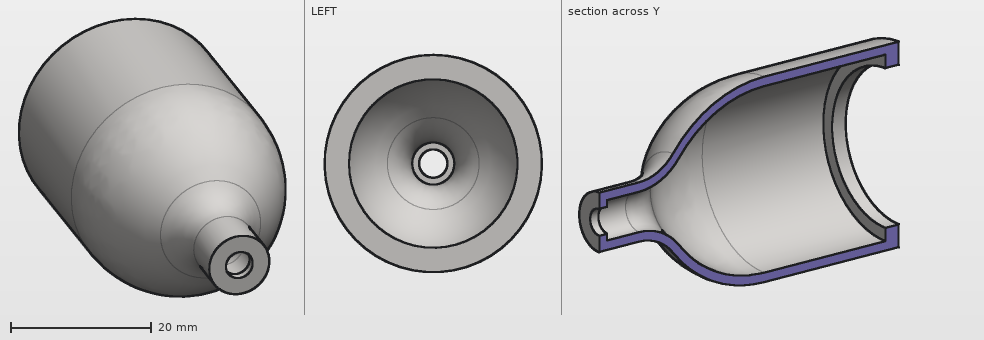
import math

import cadquery as cq

total_length = 55.0
body_radius = 15.5
neck_radius = 4.5
neck_length = 7.3
shoulder_radius = 21.5
neck_blend_radius = 8.0
wall = 1.5
lip_thickness = 2.5
mouth_radius = 12.0
tip_hole_radius = 2.0

neck_start = total_length - neck_length
arc_centre_distance = shoulder_radius + neck_blend_radius
arc_centre_rise = arc_centre_distance - (body_radius - neck_radius)
arc_sweep = math.acos(arc_centre_rise / arc_centre_distance)
body_length = neck_start - arc_centre_distance * math.sin(arc_sweep)


def bottle_solid(start_x, end_x, inset):
    """Bottle shape from start_x to end_x, its side skin moved inward by inset."""
    large_radius = body_radius - inset
    small_radius = neck_radius - inset
    convex_radius = shoulder_radius - inset
    concave_radius = neck_blend_radius + inset
    convex_centre_z = body_radius - shoulder_radius
    concave_centre_z = neck_radius + neck_blend_radius

    def convex_point(angle):
        return (
            body_length + convex_radius * math.sin(angle),
            convex_centre_z + convex_radius * math.cos(angle),
        )

    def concave_point(angle):
        return (
            neck_start - concave_radius * math.sin(angle),
            concave_centre_z - concave_radius * math.cos(angle),
        )

    profile = (
        cq.Workplane("XZ")
        .moveTo(start_x, 0)
        .lineTo(start_x, large_radius)
        .lineTo(body_length, large_radius)
        .threePointArc(convex_point(arc_sweep / 2), convex_point(arc_sweep))
        .threePointArc(concave_point(arc_sweep / 2), (neck_start, small_radius))
        .lineTo(end_x, small_radius)
        .lineTo(end_x, 0)
        .close()
    )
    return profile.revolve(360, (0, 0, 0), (1, 0, 0))


def end_wall_hole(start_x, thickness, radius):
    """Round cutter along X that passes through one end wall."""
    return cq.Workplane("YZ", origin=(start_x, 0, 0)).circle(radius).extrude(thickness)


cavity_end = total_length - wall
outer_body = bottle_solid(0, total_length, 0)
cavity = bottle_solid(lip_thickness, cavity_end, wall)
mouth = end_wall_hole(0, lip_thickness, mouth_radius)
tip_hole = end_wall_hole(cavity_end, wall, tip_hole_radius)

result = outer_body.cut(cavity).cut(mouth).cut(tip_hole)